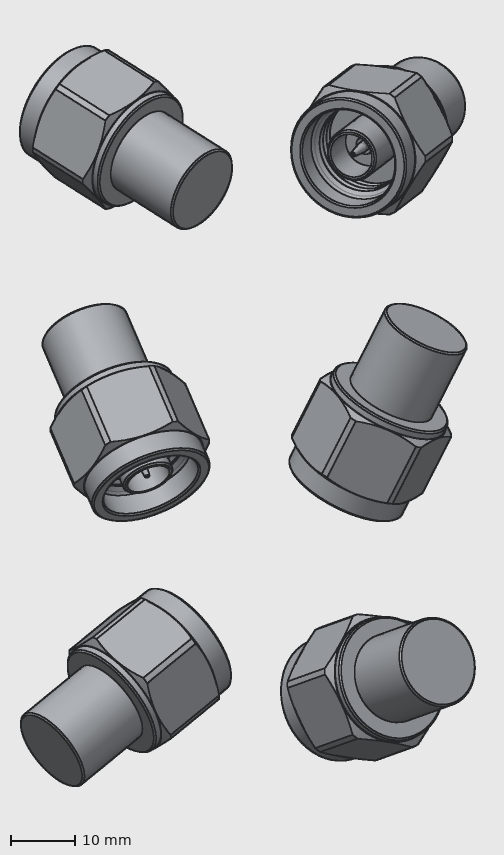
import cadquery as cq
import math

total_length = 29.97
edge_break = 0.27

nut_length = 17.0
nut_radius = 9.83
hex_start = 3.57
hex_end = 15.7
hex_flats = 20.0
hex_corner_diameter = 22.5
hex_corner_radius = hex_corner_diameter / 2
hex_bevel_radius = 9.95
hex_bevel_angle = math.radians(30)

sleeve_radius = 7.07

bore_radius = 7.88
bore_end = 3.72
root_radius = 7.52
lead_in_length = 0.5
crest_radius = 6.95
crest_width = 0.1
thread_pitch = 1.35
thread_count = 4
socket_depth = 10.2

tube_front = 1.32
tube_radius = 4.15
tube_inner_radius = 3.5
tube_depth = 7.2

contact_base_radius = 1.45
contact_base_length = 0.6
pin_front = 1.68
pin_radius = 0.8
pin_neck_radius = 0.4
pin_tip_radius = 0.2
pin_tip_length = 0.18
pin_taper_length = 3.6


def revolve_about_x(points):
    """Revolve a closed (x, radius) outline about the X axis."""
    return cq.Workplane("XY").polyline(points).close().revolve(360, (0, 0, 0), (1, 0, 0))


def cylinder(start, end, radius):
    return cq.Workplane("YZ", origin=(start, 0, 0)).circle(radius).extrude(end - start)


def make_hexagon():
    """Hexagon with flats facing Z, rounded corners and both ends bevelled."""
    across_corners = hex_flats / math.cos(math.pi / 6)
    prism = (
        cq.Workplane("YZ", origin=(hex_start, 0, 0))
        .polygon(6, across_corners)
        .extrude(hex_end - hex_start)
    )
    bevel_length = (hex_corner_radius - hex_bevel_radius) * math.tan(hex_bevel_angle)
    envelope = revolve_about_x([
        (hex_start, 0),
        (hex_start, hex_bevel_radius),
        (hex_start + bevel_length, hex_corner_radius),
        (hex_end - bevel_length, hex_corner_radius),
        (hex_end, hex_bevel_radius),
        (hex_end, 0),
    ])
    return prism.intersect(envelope)


def make_socket():
    """Cavity of the nut: lead-in bore followed by ring-shaped thread teeth."""
    outline = [
        (0, 0),
        (0, bore_radius + edge_break),
        (edge_break, bore_radius),
        (bore_end, bore_radius),
    ]
    thread_start = bore_end + lead_in_length
    flank_length = (thread_pitch - crest_width) / 2
    for tooth in range(thread_count):
        root = thread_start + tooth * thread_pitch
        crest = root + flank_length
        outline += [
            (root, root_radius),
            (crest, crest_radius),
            (crest + crest_width, crest_radius),
        ]
    thread_end = thread_start + thread_count * thread_pitch
    outline += [
        (thread_end, root_radius),
        (socket_depth, root_radius),
        (socket_depth, 0),
    ]
    return revolve_about_x(outline)


def make_contact_tube():
    tube = cylinder(tube_front, socket_depth, tube_radius).faces("<X").edges().chamfer(edge_break)
    return tube.cut(cylinder(tube_front, tube_depth, tube_inner_radius))


def make_pin():
    """Tapered centre contact standing on a round base at the tube floor."""
    taper_start = pin_front + pin_tip_length
    base_front = tube_depth - contact_base_length
    return revolve_about_x([
        (pin_front, 0),
        (pin_front, pin_tip_radius),
        (taper_start, pin_neck_radius),
        (taper_start + pin_taper_length, pin_radius),
        (base_front, pin_radius),
        (base_front, contact_base_radius),
        (tube_depth, contact_base_radius),
        (tube_depth, 0),
    ])


nut = cylinder(0, nut_length, nut_radius).edges().chamfer(edge_break)
sleeve = cylinder(nut_length, total_length, sleeve_radius).faces(">X").edges().chamfer(edge_break)
body = nut.union(make_hexagon()).union(sleeve).cut(make_socket())
result = body.union(make_contact_tube()).union(make_pin())